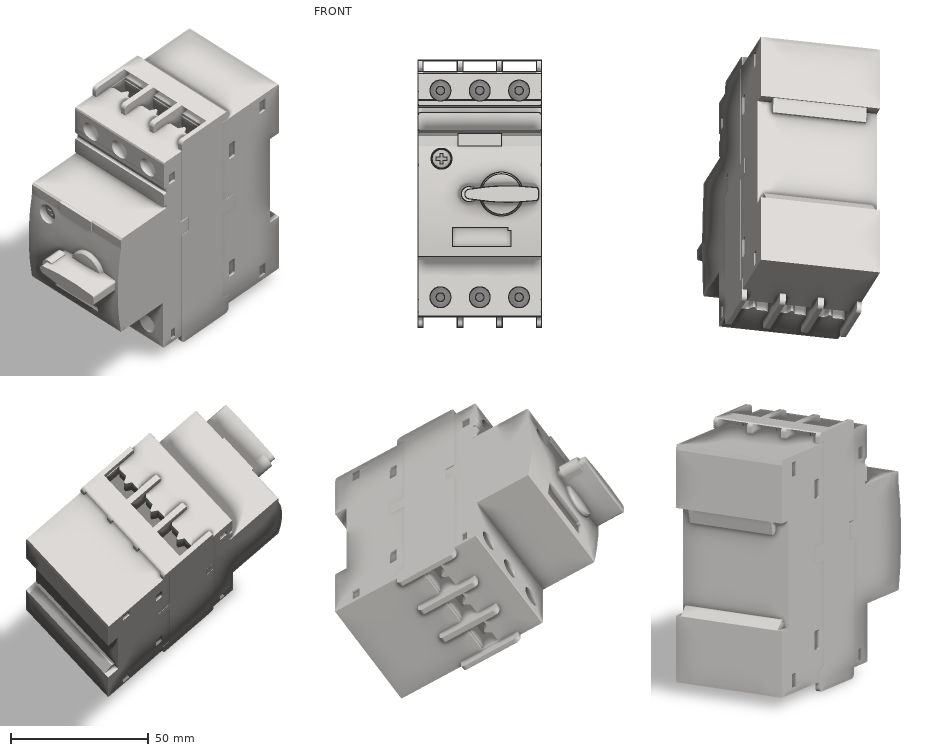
import cadquery as cq


WIDTH = 45.0
HEIGHT = 97.4
DEPTH = 96.9

SHELL_RELIEF = 0.1
BODY_WIDTH = WIDTH - 2 * SHELL_RELIEF
BODY_BOTTOM = 3.9
BODY_TOP = 93.2
BODY_DEPTH = 61.2
UPPER_DEPTH = 60.9
BODY_CHAMFER = 0.3
UPPER_CHAMFER_HEIGHT = 0.7
UPPER_CHAMFER_DEPTH = 0.3
BACK_TAPER = 0.4
BACK_TAPER_HEIGHT = 1.9

RAIL_BOTTOM = 28.9
RAIL_TOP = 69.4
RAIL_DEPTH = 4.9
HOOK_DEPTH = 3.9
UPPER_HOOK_INSET = 4.9
UPPER_HOOK_BACK = 0.6
UPPER_HOOK_TIP_BACK = 1.8
UPPER_HOOK_TIP_FRONT = 2.8
UPPER_HOOK_TIP = 64.2
UPPER_HOOK_BEVEL_TOP = 65.5
LOWER_HOOK_INSET = 1.9
LOWER_HOOK_TIP_BACK = 3.5
LOWER_HOOK_TIP = 32.2
LOWER_HOOK_SHOULDER = 31.0

HOUSING_BOTTOM = 25.9
HOUSING_TOP = 70.8
HOUSING_DEPTH = 83.5
HOUSING_CROWN_DEPTH = 85.2
HOUSING_CHAMFER = 0.7
BROW_BOTTOM = 66.0

GROOVE_DEPTH = 1.5
GROOVE_BOTTOM = 78.2
GROOVE_TOP = 80.1
GROOVE_LIP = 0.8
STRIP_TOP = 83.1
STRIP_DEPTH = 0.2
STRIP_BEVEL = 0.4
RIB_BOTTOM = 71.6
RIB_CORNER = 0.7

BAND_BACK = 26.9
BAND_FRONT = 51.4
BAND_SEAM = 30.1
BAND_CORNER = 1.7
BAND_TAB_BACK = 24.1
BAND_TAB_BOTTOM = 49.2
BAND_TAB_TOP = 55.1
BAND_FOOT_TOP = 8.1
PARTITION_GAP = 0.3
NOTCH_BACK = 47.7
NOTCH_BOTTOM = 52.3
NOTCH_TOP = 59.5
NOTCH_GAP = 0.6
OUTER_PARTITION = 1.85
INNER_PARTITION = 2.1
COVER_THICKNESS = 0.3
COVER_FRONT = 36.6

POLE_PITCH = 14.3
UPPER_TERMINAL_Z = 86.3
LOWER_TERMINAL_Z = 11.0
TERMINAL_RADIUS = 3.8
TERMINAL_HOLE_DEPTH = 7.8
SCREW_CORE_RADIUS = 1.6
SCREW_CORE_DEPTH = 1.0
SCREW_RIDGE_HALF_WIDTH = 0.8
SCREW_RIDGE_DROP = 0.1
SCREW_EDGE_DROP = 0.9
WIRE_REBATE_DEPTH = 0.5
WIRE_REBATE_HEIGHT = 1.2
WIRE_POCKET_FRONT = 43.2
WIRE_POCKET_DEPTH = 9.7
WIRE_POCKET_CHAMFER = 0.9
WIRE_NOTCH_HALF_WIDTH = 1.6
WIRE_NOTCH_TIP_HALF_WIDTH = 0.4
WIRE_NOTCH_HEIGHT = 2.1

SIDE_RECESS_DEPTH = 1.0
SIDE_RECESSES = [
    (7.3, 10.5, 85.1, 90.8, 0),
    (7.3, 10.5, 5.8, 11.2, 0),
    (23.4, 26.6, 73.2, 80.6, 0.7),
    (23.4, 26.6, 16.4, 23.8, 0.7),
    (54.8, 58.05, 81.2, 85.9, 0),
    (54.8, 57.0, 5.6, 10.1, 0),
]

PLATE_WIDTH = 15.8
PLATE_BOTTOM = 66.1
PLATE_TOP = 70.7
PLATE_THICKNESS = 0.6
ADJUSTER_X = -13.9
ADJUSTER_Z = 61.5
ADJUSTER_RADIUS = 3.8
ADJUSTER_HEAD_RADIUS = 3.4
ADJUSTER_HOLE_DEPTH = 2.4
ADJUSTER_HEAD_HEIGHT = 0.8
CROSS_LENGTH = 4.0
CROSS_WIDTH = 1.2
CROSS_DEPTH = 0.6
LABEL_LEFT = -9.9
LABEL_RIGHT = 11.4
LABEL_BOTTOM = 29.5
LABEL_TOP = 36.4
LABEL_NOTCH = 1.1
LABEL_FLOOR_DEPTH = 82.8

KNOB_X = 7.9
KNOB_Z = 48.6
KNOB_RADIUS = 8.0
KNOB_RIM_RADIUS = 7.4
KNOB_SIDE_DEPTH = 85.8
KNOB_RIM_DEPTH = 86.7
KNOB_TOP_DEPTH = 87.4
HANDLE_LEFT = -5.5
HANDLE_RIGHT = 21.3
HANDLE_CORNER = 0.9
HANDLE_THICKNESS = 5.9
HANDLE_LEFT_HALF = 1.8
HANDLE_RIGHT_HALF = 2.2
LOCK_X = -4.0
LOCK_RADIUS = 2.7
LOCK_FLAT_LENGTH = 1.85
LOCK_FLAT_HALF = 2.5
LOCK_BACK = 86.9
LOCK_FRONT = 94.3


def box(x_left, x_right, back, front, bottom, top):
    """Box between two X values, two depths and two heights."""
    size = (x_right - x_left, front - back, top - bottom)
    return cq.Workplane("XY").box(*size, centered=False).translate((x_left, -front, bottom))


def side_profile(points, x_left, x_right):
    """Extrude an outline of (depth, height) points from one X value to another."""
    outline = [(-depth, height) for depth, height in points]
    plane = cq.Workplane("YZ", origin=(x_left, 0, 0))
    return plane.polyline(outline).close().extrude(x_right - x_left)


def front_plane(depth):
    """Plane at a given depth whose normal points to the front; local axes are X and Z."""
    return cq.Workplane("XZ", origin=(0, -depth, 0))


def front_cylinder(x, z, radius, back, front):
    return front_plane(back).center(x, z).circle(radius).extrude(front - back)


def make_body():
    half = BODY_WIDTH / 2
    body = side_profile(
        [
            (0, BODY_BOTTOM),
            (BODY_DEPTH - BODY_CHAMFER, BODY_BOTTOM),
            (BODY_DEPTH, BODY_BOTTOM + BODY_CHAMFER),
            (BODY_DEPTH, HOUSING_BOTTOM),
            (UPPER_DEPTH, HOUSING_BOTTOM),
            (UPPER_DEPTH, BODY_TOP - UPPER_CHAMFER_HEIGHT),
            (UPPER_DEPTH - UPPER_CHAMFER_DEPTH, BODY_TOP),
            (BACK_TAPER, BODY_TOP),
            (0, BODY_TOP - BACK_TAPER_HEIGHT),
        ],
        -half,
        half,
    )
    body = body.cut(box(-half, half, 0, RAIL_DEPTH, RAIL_BOTTOM, RAIL_TOP))
    upper_hook = side_profile(
        [
            (UPPER_HOOK_BACK, RAIL_TOP),
            (UPPER_HOOK_TIP_BACK, UPPER_HOOK_TIP),
            (UPPER_HOOK_TIP_FRONT, UPPER_HOOK_TIP),
            (HOOK_DEPTH, UPPER_HOOK_BEVEL_TOP),
            (HOOK_DEPTH, RAIL_TOP),
        ],
        UPPER_HOOK_INSET - half,
        half - UPPER_HOOK_INSET,
    )
    lower_hook = side_profile(
        [
            (0, RAIL_BOTTOM),
            (LOWER_HOOK_TIP_BACK, LOWER_HOOK_TIP),
            (HOOK_DEPTH, LOWER_HOOK_TIP),
            (HOOK_DEPTH, LOWER_HOOK_SHOULDER),
            (RAIL_DEPTH, LOWER_HOOK_SHOULDER),
            (RAIL_DEPTH, RAIL_BOTTOM),
        ],
        LOWER_HOOK_INSET - half,
        half - LOWER_HOOK_INSET,
    )
    return body.union(upper_hook).union(lower_hook)


def cut_front_grooves(body):
    """Two grooves across the upper block leave a rib with rounded ends between them."""
    half = BODY_WIDTH / 2
    floor = UPPER_DEPTH - GROOVE_DEPTH
    strip_front = UPPER_DEPTH - STRIP_DEPTH
    groove = side_profile(
        [
            (floor, HOUSING_TOP),
            (floor, GROOVE_TOP),
            (strip_front, GROOVE_TOP + GROOVE_LIP),
            (strip_front, STRIP_TOP - STRIP_BEVEL),
            (UPPER_DEPTH, STRIP_TOP),
            (UPPER_DEPTH, HOUSING_TOP),
        ],
        -half,
        half,
    )
    rib = box(-half, half, floor, UPPER_DEPTH, RIB_BOTTOM, GROOVE_BOTTOM).edges("|Y").fillet(RIB_CORNER)
    return body.cut(groove).union(rib)


def make_housing():
    """Front housing with an arched lower front."""
    half = BODY_WIDTH / 2
    start = BAND_FRONT
    arch_middle = (HOUSING_BOTTOM + BROW_BOTTOM) / 2
    return (
        cq.Workplane("YZ", origin=(-half, 0, 0))
        .moveTo(-start, HOUSING_BOTTOM)
        .lineTo(-HOUSING_DEPTH, HOUSING_BOTTOM)
        .threePointArc((-HOUSING_CROWN_DEPTH, arch_middle), (-HOUSING_DEPTH, BROW_BOTTOM))
        .lineTo(-HOUSING_DEPTH, HOUSING_TOP - HOUSING_CHAMFER)
        .lineTo(HOUSING_CHAMFER - HOUSING_DEPTH, HOUSING_TOP)
        .lineTo(-start, HOUSING_TOP)
        .close()
        .extrude(BODY_WIDTH)
    )


def make_band():
    """Band round the body, standing slightly proud of its sides."""
    half = WIDTH / 2
    return side_profile(
        [
            (BAND_SEAM, BODY_TOP),
            (BAND_SEAM, BAND_TAB_TOP),
            (BAND_TAB_BACK, BAND_TAB_TOP),
            (BAND_TAB_BACK, BAND_TAB_BOTTOM),
            (BAND_SEAM, BAND_TAB_BOTTOM),
            (BAND_SEAM, BAND_FOOT_TOP + BAND_CORNER / 2),
            (BAND_SEAM - BAND_CORNER / 2, BAND_FOOT_TOP),
            (BAND_BACK, BAND_FOOT_TOP),
            (BAND_BACK, BODY_BOTTOM),
            (BAND_FRONT, BODY_BOTTOM),
            (BAND_FRONT, NOTCH_BOTTOM),
            (NOTCH_BACK, NOTCH_BOTTOM),
            (NOTCH_BACK, NOTCH_TOP),
            (BAND_FRONT, NOTCH_TOP),
            (BAND_FRONT, BODY_TOP),
        ],
        -half,
        half,
    )


def make_partitions():
    """Walls between the poles, above and below the body, with the cover plates joining the upper ones."""
    half = WIDTH / 2
    partitions = box(-half, half, BAND_BACK, BAND_FRONT, 0, HEIGHT).edges("|X").fillet(BAND_CORNER)
    partitions = partitions.cut(box(-half, half, BAND_BACK, BAND_FRONT, BODY_BOTTOM, BODY_TOP))
    inner_edge = POLE_PITCH / 2 - INNER_PARTITION / 2
    outer_edge = half - OUTER_PARTITION
    openings = [
        (-outer_edge, -inner_edge - INNER_PARTITION),
        (-inner_edge, inner_edge),
        (inner_edge + INNER_PARTITION, outer_edge),
    ]
    cover_underside = HEIGHT - COVER_THICKNESS
    for x_left, x_right in openings:
        partitions = partitions.cut(box(x_left, x_right, BAND_BACK, BAND_FRONT, 0, BODY_BOTTOM))
        partitions = partitions.cut(box(x_left, x_right, BAND_BACK, COVER_FRONT, BODY_TOP, cover_underside))
        partitions = partitions.cut(box(x_left, x_right, COVER_FRONT, BAND_FRONT, BODY_TOP, HEIGHT))
    return partitions.cut(box(-half, half, BAND_BACK, BAND_SEAM, BODY_TOP, BODY_TOP + PARTITION_GAP))


def make_wire_pocket(pole_x, bottom, top, rebate_bottom):
    """Wire entry between two partitions, with a pointed guide notch in its front wall."""
    half = POLE_PITCH / 2 - INNER_PARTITION / 2
    front = WIRE_POCKET_FRONT
    right_side = [
        (WIRE_NOTCH_TIP_HALF_WIDTH, front - WIRE_NOTCH_HEIGHT),
        (WIRE_NOTCH_HALF_WIDTH, front),
        (half - WIRE_POCKET_CHAMFER, front),
        (half, front + WIRE_POCKET_CHAMFER),
        (half, COVER_FRONT),
    ]
    left_side = [(-x, depth) for x, depth in reversed(right_side)]
    outline = [(pole_x + x, -depth) for x, depth in right_side + left_side]
    entry = cq.Workplane("XY", origin=(0, 0, bottom)).polyline(outline).close().extrude(top - bottom)
    rebate = box(
        pole_x - half,
        pole_x + half,
        COVER_FRONT - WIRE_REBATE_DEPTH,
        COVER_FRONT,
        rebate_bottom,
        rebate_bottom + WIRE_REBATE_HEIGHT,
    )
    return entry.union(rebate)


def make_terminal_hole(x, z):
    """Screw hole whose floor is a rounded upright ridge with a round bore in the middle."""
    crest = BODY_DEPTH - TERMINAL_HOLE_DEPTH
    edge = crest - SCREW_EDGE_DROP
    shoulder = crest - SCREW_RIDGE_DROP
    hole = front_cylinder(x, z, TERMINAL_RADIUS, edge, BODY_DEPTH)
    ridge = (
        cq.Workplane("XY", origin=(x, 0, z - TERMINAL_RADIUS))
        .moveTo(-TERMINAL_RADIUS, -edge)
        .lineTo(-SCREW_RIDGE_HALF_WIDTH, -shoulder)
        .threePointArc((0, -crest), (SCREW_RIDGE_HALF_WIDTH, -shoulder))
        .lineTo(TERMINAL_RADIUS, -edge)
        .close()
        .extrude(2 * TERMINAL_RADIUS)
    )
    core = front_cylinder(x, z, SCREW_CORE_RADIUS, crest - SCREW_CORE_DEPTH, crest)
    return hole.cut(ridge).union(core)


def make_side_recess(back, front, bottom, top, corner):
    half = WIDTH / 2
    inner = BODY_WIDTH / 2 - SIDE_RECESS_DEPTH
    recess = box(inner, half, back, front, bottom, top)
    if corner:
        recess = recess.edges("|X").fillet(corner)
    return recess.union(recess.mirror("YZ"))


def add_name_plate(part):
    plate = box(
        -PLATE_WIDTH / 2,
        PLATE_WIDTH / 2,
        HOUSING_DEPTH - HOUSING_CHAMFER,
        HOUSING_DEPTH + PLATE_THICKNESS,
        PLATE_BOTTOM,
        PLATE_TOP,
    )
    return part.union(plate)


def add_adjuster(part):
    """Cross-head adjusting screw sunk in a round hole."""
    floor = HOUSING_DEPTH - ADJUSTER_HOLE_DEPTH
    head_top = floor + ADJUSTER_HEAD_HEIGHT
    hole = front_cylinder(ADJUSTER_X, ADJUSTER_Z, ADJUSTER_RADIUS, floor, HOUSING_CROWN_DEPTH)
    head = front_cylinder(ADJUSTER_X, ADJUSTER_Z, ADJUSTER_HEAD_RADIUS, floor, head_top)
    cross_plane = front_plane(head_top - CROSS_DEPTH).center(ADJUSTER_X, ADJUSTER_Z)
    for size in [(CROSS_LENGTH, CROSS_WIDTH), (CROSS_WIDTH, CROSS_LENGTH)]:
        head = head.cut(cross_plane.rect(*size).extrude(CROSS_DEPTH))
    return part.cut(hole).union(head)


def cut_label_window(part):
    window = (
        front_plane(LABEL_FLOOR_DEPTH)
        .polyline(
            [
                (LABEL_LEFT, LABEL_BOTTOM),
                (LABEL_RIGHT, LABEL_BOTTOM),
                (LABEL_RIGHT, LABEL_TOP - LABEL_NOTCH),
                (LABEL_RIGHT - LABEL_NOTCH, LABEL_TOP - LABEL_NOTCH),
                (LABEL_RIGHT - LABEL_NOTCH, LABEL_TOP),
                (LABEL_LEFT, LABEL_TOP),
            ]
        )
        .close()
        .extrude(HOUSING_CROWN_DEPTH - LABEL_FLOOR_DEPTH)
    )
    return part.cut(window)


def make_knob():
    """Round base with a bevelled rim and a low dome, turned about an axis along Y."""
    dome_height = KNOB_TOP_DEPTH - KNOB_RIM_DEPTH
    dome_radius = (KNOB_RIM_RADIUS**2 + dome_height**2) / (2 * dome_height)
    return (
        cq.Workplane("XY", origin=(KNOB_X, 0, KNOB_Z))
        .moveTo(0, -HOUSING_DEPTH)
        .lineTo(KNOB_RADIUS, -HOUSING_DEPTH)
        .lineTo(KNOB_RADIUS, -KNOB_SIDE_DEPTH)
        .lineTo(KNOB_RIM_RADIUS, -KNOB_RIM_DEPTH)
        .radiusArc((0, -KNOB_TOP_DEPTH), dome_radius)
        .close()
        .revolve(360, (0, 0, 0), (0, 1, 0))
    )


def make_handle():
    """Lens-shaped grip with a padlock slide at its left end."""
    half = HANDLE_THICKNESS / 2
    start = HANDLE_LEFT + HANDLE_LEFT_HALF
    grip = (
        front_plane(HOUSING_DEPTH)
        .moveTo(start, KNOB_Z + HANDLE_LEFT_HALF)
        .threePointArc((KNOB_X, KNOB_Z + half), (HANDLE_RIGHT, KNOB_Z + HANDLE_RIGHT_HALF))
        .lineTo(HANDLE_RIGHT, KNOB_Z - HANDLE_RIGHT_HALF)
        .threePointArc((KNOB_X, KNOB_Z - half), (start, KNOB_Z - HANDLE_LEFT_HALF))
        .threePointArc((HANDLE_LEFT, KNOB_Z), (start, KNOB_Z + HANDLE_LEFT_HALF))
        .close()
        .extrude(DEPTH - HOUSING_DEPTH)
        .edges("|Y and >X")
        .fillet(HANDLE_CORNER)
    )
    lock_slide = front_cylinder(LOCK_X, KNOB_Z, LOCK_RADIUS, LOCK_BACK, LOCK_FRONT)
    lock_flats = (
        front_plane(LOCK_BACK)
        .polyline(
            [
                (LOCK_X, KNOB_Z - LOCK_RADIUS),
                (LOCK_X + LOCK_FLAT_LENGTH, KNOB_Z - LOCK_FLAT_HALF),
                (LOCK_X + LOCK_FLAT_LENGTH, KNOB_Z + LOCK_FLAT_HALF),
                (LOCK_X, KNOB_Z + LOCK_RADIUS),
            ]
        )
        .close()
        .extrude(LOCK_FRONT - LOCK_BACK)
    )
    return grip.union(lock_slide).union(lock_flats)


body = cut_front_grooves(make_body())
result = body.union(make_housing()).union(make_band()).union(make_partitions())
result = result.cut(box(-WIDTH / 2, WIDTH / 2, NOTCH_BACK, BAND_FRONT, NOTCH_TOP - NOTCH_GAP, NOTCH_TOP))

upper_rebate_bottom = BODY_TOP - WIRE_REBATE_HEIGHT
lower_pocket_top = BODY_BOTTOM + WIRE_POCKET_DEPTH
for pole_x in (-POLE_PITCH, 0, POLE_PITCH):
    result = result.cut(make_wire_pocket(pole_x, BODY_TOP - WIRE_POCKET_DEPTH, BODY_TOP, upper_rebate_bottom))
    result = result.cut(make_wire_pocket(pole_x, BODY_BOTTOM, lower_pocket_top, BODY_BOTTOM))
    result = result.cut(make_terminal_hole(pole_x, UPPER_TERMINAL_Z))
    result = result.cut(make_terminal_hole(pole_x, LOWER_TERMINAL_Z))

for recess in SIDE_RECESSES:
    result = result.cut(make_side_recess(*recess))

result = add_name_plate(result)
result = add_adjuster(result)
result = cut_label_window(result)
result = result.union(make_knob()).union(make_handle())